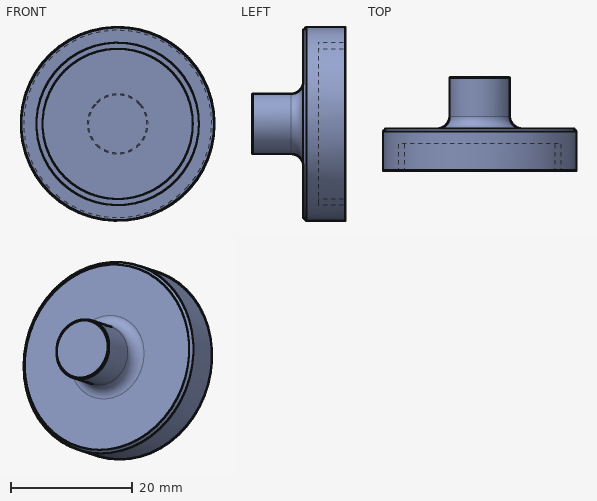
import cadquery as cq

cup_diameter = 32.0
total_length = 15.5
cup_length = 7.0
cup_back_chamfer = 0.5
cup_front_chamfer = 0.1

stem_diameter = 10.0
stem_root_radius = 2.0
stem_tip_chamfer = 0.2

magnet_diameter = 24.8
recess_diameter = 26.8
recess_depth = 4.48

cup_radius = cup_diameter / 2
stem_radius = stem_diameter / 2


def cylinder_along_y(diameter, length):
    """Cylinder on the Y axis, from Y = 0 towards +Y."""
    return cq.Workplane("XZ").circle(diameter / 2).extrude(-length)


def make_housing():
    """Cup and stem with a concave root fillet, and a blind recess in the front."""
    arc_center_x = stem_radius + stem_root_radius
    arc_center_y = cup_length + stem_root_radius
    arc_offset = stem_root_radius * 0.5**0.5
    body = (
        cq.Workplane("XY")
        .lineTo(cup_radius - cup_front_chamfer, 0)
        .lineTo(cup_radius, cup_front_chamfer)
        .lineTo(cup_radius, cup_length - cup_back_chamfer)
        .lineTo(cup_radius - cup_back_chamfer, cup_length)
        .lineTo(arc_center_x, cup_length)
        .threePointArc(
            (arc_center_x - arc_offset, arc_center_y - arc_offset),
            (stem_radius, arc_center_y),
        )
        .lineTo(stem_radius, total_length - stem_tip_chamfer)
        .lineTo(stem_radius - stem_tip_chamfer, total_length)
        .lineTo(0, total_length)
        .close()
        .revolve(360, (0, 0, 0), (0, 1, 0))
    )
    return body.cut(cylinder_along_y(recess_diameter, recess_depth))


def make_magnet():
    """Disc magnet in the middle of the recess."""
    return cylinder_along_y(magnet_diameter, recess_depth)


def make_spacer_ring():
    """Ring that fills the gap between the magnet and the recess wall."""
    return cylinder_along_y(recess_diameter, recess_depth).cut(make_magnet())


housing = make_housing()
magnet = make_magnet()
spacer_ring = make_spacer_ring()

result = cq.Compound.makeCompound([housing.val(), magnet.val(), spacer_ring.val()])